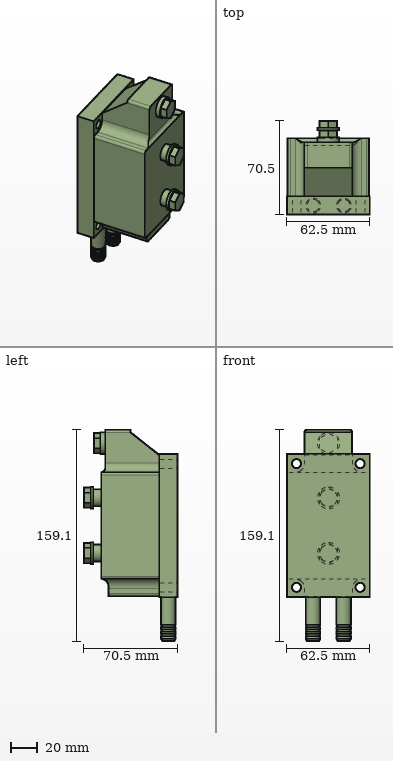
import cadquery as cq
import math

PLATE_WIDTH = 62.5
PLATE_HEIGHT = 107.7
PLATE_THICKNESS = 14.0
HOLE_DIAMETER = 6.7
HOLE_INSET = 7.3

HOUSING_WIDTH = 61.5
HOUSING_BACK = 57.6
NECK_WIDTH = 36.0
NECK_TOP = PLATE_HEIGHT + 18.3
NECK_BOTTOM = 0.5
SHOULDER_TOP = 94.0
SHOULDER_BOTTOM = 13.7
CORNER_RADIUS = 2.0
LOWER_CORNER_RADIUS = 2.5
NECK_FILLET = 7.0

UPPER_NECK_BACK = 54.5
LOWER_NECK_BACK = 52.2

SLOPE_TOP_Y = 35.3
SLOPE_TOP_Z = NECK_TOP - CORNER_RADIUS
SLOPE_BOTTOM_Z = PLATE_HEIGHT - 0.6

HEX_FLATS = 13.4
HEX_HEIGHT = 5.0
FLANGE_DIAMETER = 16.5
FLANGE_THICKNESS = 2.0
SHANK_DIAMETER = 13.0
SHANK_LENGTH = 5.9
TOP_WASHER_THICKNESS = 3.5
HOUSING_SCREW_HEIGHTS = (33.1, 74.8)
NECK_SCREW_HEIGHT = 115.8

NOZZLE_DIAMETER = 11.1
NOZZLE_LENGTH = 33.1
NOZZLE_SPACING = 23.0
BARB_COUNT = 4
BARB_PITCH = 3.5
BARB_TAPER_LENGTH = 1.9
BARB_DEPTH = 1.0


def box(x_range, y_range, z_range):
    """Box between the given limits along each axis."""
    size = [high - low for low, high in (x_range, y_range, z_range)]
    corner = (x_range[0], y_range[0], z_range[0])
    return cq.Workplane("XY").box(*size, centered=False).translate(corner)


def back_plane(y, z=0):
    """Workplane facing +Y at the given depth and height, on the centre line."""
    return cq.Workplane("XZ", origin=(0, y, z)).workplane(invert=True)


def make_plate():
    half_width = PLATE_WIDTH / 2
    plate = box((-half_width, half_width), (0, PLATE_THICKNESS), (0, PLATE_HEIGHT))
    holes = (
        back_plane(0, PLATE_HEIGHT / 2)
        .rect(PLATE_WIDTH - 2 * HOLE_INSET, PLATE_HEIGHT - 2 * HOLE_INSET, forConstruction=True)
        .vertices()
        .circle(HOLE_DIAMETER / 2)
        .extrude(PLATE_THICKNESS)
    )
    return plate.cut(holes)


def make_housing_blank():
    """Cross-shaped outline with rounded corners, extruded from the plate to the back."""
    depth = (PLATE_THICKNESS, HOUSING_BACK)
    half_width = HOUSING_WIDTH / 2
    half_neck = NECK_WIDTH / 2
    middle = box((-half_width, half_width), depth, (SHOULDER_BOTTOM, SHOULDER_TOP))
    necks = box((-half_neck, half_neck), depth, (NECK_BOTTOM, NECK_TOP))
    blank = middle.union(necks)

    def edges_along_y(x, z):
        """Left and right edges that run along Y at the given place."""
        margin = 0.2
        left, right = (
            cq.selectors.BoxSelector(
                (side - margin, PLATE_THICKNESS, z - margin),
                (side + margin, HOUSING_BACK, z + margin),
            )
            for side in (-x, x)
        )
        return blank.edges("|Y").edges(left + right)

    for x, z, radius in (
        (half_width, SHOULDER_TOP, CORNER_RADIUS),
        (half_width, SHOULDER_BOTTOM, CORNER_RADIUS),
        (half_neck, SHOULDER_TOP, NECK_FILLET),
        (half_neck, SHOULDER_BOTTOM, NECK_FILLET),
        (half_neck, NECK_TOP, CORNER_RADIUS),
        (half_neck, NECK_BOTTOM, LOWER_CORNER_RADIUS),
    ):
        blank = edges_along_y(x, z).fillet(radius)
    return blank


def make_neck_step(neck_back, shoulder, neck_end):
    """Cutter that sets a neck back in and curves out to the shoulder with a concave arc."""
    outward = math.copysign(1, neck_end - shoulder)
    radius = HOUSING_BACK - neck_back
    arc_middle = radius * (1 - math.sqrt(0.5))
    return (
        cq.Workplane("YZ", origin=(-HOUSING_WIDTH / 2, 0, 0))
        .moveTo(HOUSING_BACK, shoulder)
        .threePointArc(
            (neck_back + arc_middle, shoulder + outward * arc_middle),
            (neck_back, shoulder + outward * radius),
        )
        .lineTo(neck_back, neck_end)
        .lineTo(HOUSING_BACK, neck_end)
        .close()
        .extrude(HOUSING_WIDTH)
    )


def make_neck_slope():
    """Cutter for the sloped front of the upper neck and the short upright face above it."""
    return (
        cq.Workplane("YZ", origin=(-NECK_WIDTH / 2, 0, 0))
        .moveTo(PLATE_THICKNESS, SLOPE_BOTTOM_Z)
        .lineTo(SLOPE_TOP_Y, SLOPE_TOP_Z)
        .lineTo(SLOPE_TOP_Y, NECK_TOP)
        .lineTo(PLATE_THICKNESS, NECK_TOP)
        .close()
        .extrude(NECK_WIDTH)
    )


def make_housing():
    return (
        make_housing_blank()
        .cut(make_neck_step(UPPER_NECK_BACK, SHOULDER_TOP, NECK_TOP))
        .cut(make_neck_step(LOWER_NECK_BACK, SHOULDER_BOTTOM, NECK_BOTTOM))
        .cut(make_neck_slope())
    )


def make_disc(diameter, y, z, length):
    return back_plane(y, z).circle(diameter / 2).extrude(length)


def make_hex_head(y, z):
    """Hexagon pointing up, so that its flats face +X and -X."""
    across_corners = HEX_FLATS / math.cos(math.pi / 6)
    quarter_turn = 90
    return (
        back_plane(y, z)
        .transformed(rotate=(0, 0, quarter_turn))
        .polygon(6, across_corners)
        .extrude(HEX_HEIGHT)
    )


def make_housing_screw(z):
    flange_start = HOUSING_BACK + SHANK_LENGTH
    shank = make_disc(SHANK_DIAMETER, HOUSING_BACK, z, SHANK_LENGTH)
    flange = make_disc(FLANGE_DIAMETER, flange_start, z, FLANGE_THICKNESS)
    return shank.union(flange).union(make_hex_head(flange_start + FLANGE_THICKNESS, z))


def make_neck_screw(z):
    washer = make_disc(FLANGE_DIAMETER, UPPER_NECK_BACK, z, TOP_WASHER_THICKNESS)
    return washer.union(make_hex_head(UPPER_NECK_BACK + TOP_WASHER_THICKNESS, z))


def make_nozzle(x):
    """Round nozzle whose lower end carries tapered barbs, each narrowing downwards."""
    radius = NOZZLE_DIAMETER / 2
    barbs_start = -NOZZLE_LENGTH + (BARB_COUNT - 1) * BARB_PITCH + BARB_TAPER_LENGTH
    profile = cq.Workplane("XZ").moveTo(0, 0).lineTo(radius, 0)
    for index in range(BARB_COUNT):
        taper_top = barbs_start - index * BARB_PITCH
        taper_bottom = taper_top - BARB_TAPER_LENGTH
        profile = profile.lineTo(radius, taper_top).lineTo(radius - BARB_DEPTH, taper_bottom)
        if index < BARB_COUNT - 1:
            profile = profile.lineTo(radius, taper_bottom)
    nozzle = profile.lineTo(0, -NOZZLE_LENGTH).close().revolve(360, (0, 0), (0, 1))
    return nozzle.translate((x, PLATE_THICKNESS / 2, 0))


result = make_plate().union(make_housing())
for screw_height in HOUSING_SCREW_HEIGHTS:
    result = result.union(make_housing_screw(screw_height))
result = result.union(make_neck_screw(NECK_SCREW_HEIGHT))
for nozzle_x in (-NOZZLE_SPACING / 2, NOZZLE_SPACING / 2):
    result = result.union(make_nozzle(nozzle_x))